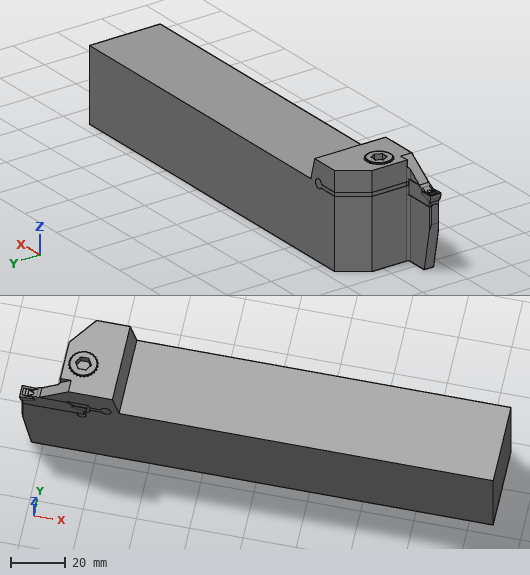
import cadquery as cq
import math


total_length = 177.8
shank_width = 32.0
shank_height = 32.0
head_height = 41.0
head_front_x = 14.2
head_back_top_x = 34.8
head_back_foot_x = 37.3
corner_cut_end_x = 22.2
corner_cut_start_y = 20.8

blade_thickness = 4.3
blade_front_x = 0.7
blade_foot_x = 4.5
blade_slant_z = 19.5
blade_root_radius = 1.0
nose_chamfer = 0.5
slope_cut_width = 5.0
slope_top_x = 18.3

insert_center_x = 12.6
insert_thickness = 4.5
insert_bottom_z = 26.8
tip_z = 31.6
ridge_z = 33.2
ridge_start_x = 7.5
ramp_start_x = 4.8
relief_foot_x = 0.2
relief_foot_z = 30.0
tip_head_bottom_z = 28.6
tip_head_back_x = 5.5
tip_head_back_z = 30.4
tip_overhang = 0.23
seat_groove_depth = 0.7
seat_groove_mouth = 3.2
seat_groove_floor = 1.6
chip_groove_start_x = 0.7
chip_groove_low_x = 1.8
chip_groove_rise_x = 4.3
chip_groove_end_x = 6.2
chip_groove_depth = 0.4
chip_groove_width = 3.0
deflector_start_x = 2.8
deflector_end_x = 5.7
deflector_width = 2.5

slit_bottom_z = 30.5
slit_top_z = 32.2
keyhole_diameter = 4.0
keyhole_x = 32.4
keyhole_z = 31.8
clearance_start_x = 18.5
clearance_end_x = 25.6
clearance_top_z = 33.8
clearance_back_x = 26.3
seat_wall_x = 24.7
seat_wall_top_z = 28.5
clearance_bend_x = 25.6
clearance_bend_z = 28.6
clearance_drop_z = 29.7
relief_diameter = 3.4
relief_x = 23.3
relief_z = 26.3

screw_x = 21.3
screw_y = 12.6
screw_rise = 0.64
screw_top_z = head_height + screw_rise
knurl_diameter = 11.0
screw_body_diameter = 10.0
screw_height = 6.2
socket_corner_diameter = 5.9
socket_depth = 2.7
knurl_count = 24


def prism(points, y_start, y_end):
    """Extrude an outline of (x, z) points from y_start to y_end."""
    return cq.Workplane("XZ", origin=(0, y_start, 0)).polyline(points).close().extrude(y_start - y_end)


def rod(x, z, diameter, y_start, y_end):
    """Cylinder along Y between y_start and y_end."""
    return cq.Workplane("XZ", origin=(x, y_start, z)).circle(diameter / 2).extrude(y_start - y_end)


def nose_bevels(thickness, z_bottom, z_top):
    """Two triangular bars that bevel the upright front edges of the blade or the insert."""
    bevels = cq.Workplane("XY", origin=(0, 0, z_bottom))
    for edge_y, inward in ((0, 1), (thickness, -1)):
        bevels = bevels.polyline([
            (blade_front_x, edge_y),
            (blade_front_x + nose_chamfer, edge_y),
            (blade_front_x, edge_y + inward * nose_chamfer),
        ]).close()
    return bevels.extrude(z_top - z_bottom)


def make_head():
    """Shank with the raised head, its sloping back and its bevelled far corner."""
    head = prism(
        [
            (head_front_x, 0),
            (total_length, 0),
            (total_length, shank_height),
            (head_back_foot_x, shank_height),
            (head_back_top_x, head_height),
            (head_front_x, head_height),
        ],
        0,
        shank_width,
    )
    corner = (
        cq.Workplane("XY")
        .polyline([
            (head_front_x, corner_cut_start_y),
            (corner_cut_end_x, shank_width),
            (head_front_x, shank_width),
        ])
        .close()
        .extrude(head_height)
    )
    return head.cut(corner)


def make_blade():
    """Thin blade in front of the head, with a slanted foot and a filleted root."""
    blade = prism(
        [
            (blade_foot_x, 0),
            (head_front_x, 0),
            (head_front_x, head_height),
            (blade_front_x, head_height),
            (blade_front_x, blade_slant_z),
        ],
        0,
        blade_thickness,
    ).cut(nose_bevels(blade_thickness, 0, head_height))
    root = (
        cq.Workplane("XY")
        .moveTo(head_front_x, blade_thickness)
        .lineTo(head_front_x, blade_thickness + blade_root_radius)
        .radiusArc((head_front_x - blade_root_radius, blade_thickness), blade_root_radius)
        .close()
        .extrude(head_height)
    )
    return blade.union(root)


def slope_cut():
    """Material removed above the sloping line from the insert up to the head top."""
    return prism(
        [
            (slope_top_x, head_height),
            (ridge_start_x, ridge_z),
            (ramp_start_x, tip_z),
            (0, tip_z),
            (0, head_height),
        ],
        0,
        slope_cut_width,
    )


def both_ends(front):
    """Join a shape of the front end with its mirror image at the rear end of the insert."""
    return front.union(front.mirror("YZ", (insert_center_x, 0, 0)))


def tip_flank():
    """Wedge that widens the cutting tip on the blade side, thinning out downwards and backwards."""
    outline = [
        (0, tip_z),
        (relief_foot_x, relief_foot_z),
        (blade_front_x, tip_head_bottom_z),
        (tip_head_back_x, tip_head_back_z),
        (tip_head_back_x, tip_z),
    ]
    run = tip_head_back_x - blade_front_x
    rise = tip_head_back_z - tip_head_bottom_z
    run_length = math.hypot(run, rise)
    tip_distance = (run * (tip_z - tip_head_bottom_z) + rise * blade_front_x) / run_length
    lower_edge = cq.Plane(
        origin=(blade_front_x, 0, tip_head_bottom_z),
        xDir=(0, -1, 0),
        normal=(-run, 0, -rise),
    )
    wedge = (
        cq.Workplane(lower_edge)
        .polyline([(0, 0), (0, 2 * tip_distance), (2 * tip_overhang, 2 * tip_distance)])
        .close()
        .extrude(2 * run_length, both=True)
    )
    return prism(outline, -2 * tip_overhang, 0).intersect(wedge)


def chip_groove():
    """Shallow trough behind the cutting edge, with a pointed deflector left standing in it."""
    mid_y = insert_thickness / 2
    ramp_slope = (ridge_z - tip_z) / (ridge_start_x - ramp_start_x)
    floor_z = tip_z - chip_groove_depth
    trough = prism(
        [
            (chip_groove_start_x, tip_z),
            (chip_groove_low_x, floor_z),
            (chip_groove_rise_x, floor_z),
            (chip_groove_end_x, tip_z + ramp_slope * (chip_groove_end_x - ramp_start_x)),
            (ramp_start_x, tip_z),
        ],
        mid_y - chip_groove_width / 2,
        mid_y + chip_groove_width / 2,
    )
    deflector = (
        cq.Workplane("XY", origin=(0, mid_y, floor_z))
        .polyline([
            (deflector_start_x, -deflector_width / 2),
            (deflector_end_x, 0),
            (deflector_start_x, deflector_width / 2),
        ])
        .close()
        .extrude(chip_groove_depth)
    )
    return trough.cut(deflector)


def make_insert_blank():
    """Double-ended insert before its chip grooves are sunk; its seat has this shape."""
    mid_y = insert_thickness / 2
    front_half = prism(
        [
            (0, tip_z),
            (relief_foot_x, relief_foot_z),
            (blade_front_x, tip_head_bottom_z),
            (blade_front_x, insert_bottom_z),
            (insert_center_x, insert_bottom_z),
            (insert_center_x, ridge_z),
            (ridge_start_x, ridge_z),
            (ramp_start_x, tip_z),
        ],
        0,
        insert_thickness,
    )
    flank = tip_flank()
    front_half = front_half.cut(nose_bevels(insert_thickness, insert_bottom_z, tip_head_bottom_z))
    front_half = front_half.union(flank).union(flank.mirror("XZ", (0, mid_y, 0)))
    seat_groove = (
        cq.Workplane("YZ")
        .polyline([
            (mid_y - seat_groove_mouth / 2, insert_bottom_z),
            (mid_y + seat_groove_mouth / 2, insert_bottom_z),
            (mid_y + seat_groove_floor / 2, insert_bottom_z + seat_groove_depth),
            (mid_y - seat_groove_floor / 2, insert_bottom_z + seat_groove_depth),
        ])
        .close()
        .extrude(insert_center_x)
    )
    return both_ends(front_half.cut(seat_groove))


def make_insert(blank):
    """Insert with a chip groove at each cutting end."""
    return blank.cut(both_ends(chip_groove()))


def make_filler(insert_blank):
    """Fills the clamping slit, its keyhole end and the gaps around the back of the insert."""
    slit = prism(
        [
            (head_front_x, slit_bottom_z),
            (keyhole_x, slit_bottom_z),
            (keyhole_x, slit_top_z),
            (head_front_x, slit_top_z),
        ],
        0,
        shank_width,
    )
    keyhole = rod(keyhole_x, keyhole_z, keyhole_diameter, 0, shank_width)
    seat_gap = prism(
        [
            (2 * insert_center_x - ridge_start_x, ridge_z),
            (clearance_start_x, clearance_top_z),
            (clearance_end_x, clearance_top_z),
            (clearance_back_x, slit_top_z),
            (clearance_back_x, clearance_drop_z),
            (clearance_bend_x, clearance_bend_z),
            (seat_wall_x, seat_wall_top_z),
            (seat_wall_x, insert_bottom_z),
            (relief_x, insert_bottom_z),
        ],
        0,
        blade_thickness,
    )
    relief = rod(relief_x, relief_z, relief_diameter, 0, blade_thickness)
    filler = slit.union(keyhole).union(seat_gap).union(relief)
    return filler.intersect(make_head()).cut(insert_blank)


def make_screw():
    """Screw with a knurled rim standing on the head top, a bevelled edge and a hexagon socket."""
    body = (
        cq.Workplane("XY", origin=(screw_x, screw_y, screw_top_z - screw_height))
        .circle(screw_body_diameter / 2)
        .extrude(screw_height)
    )
    tooth_step = 2 * math.pi / knurl_count
    outline = []
    for tooth in range(knurl_count):
        for radius, turn in ((knurl_diameter / 2, 0), (screw_body_diameter / 2, 0.5)):
            angle = (tooth + turn) * tooth_step
            outline.append((radius * math.cos(angle), radius * math.sin(angle)))
    knurl = (
        cq.Workplane("XY", origin=(screw_x, screw_y, head_height))
        .polyline(outline)
        .close()
        .extrude(screw_top_z - head_height)
    )
    bevelled_disc = (
        cq.Workplane("XY", origin=(screw_x, screw_y, head_height))
        .circle(knurl_diameter / 2)
        .extrude(screw_top_z - head_height)
        .faces(">Z")
        .chamfer((knurl_diameter - screw_body_diameter) / 2)
    )
    socket = (
        cq.Workplane("XY", origin=(screw_x, screw_y, screw_top_z))
        .polygon(6, socket_corner_diameter)
        .extrude(-socket_depth)
    )
    return body.union(knurl.intersect(bevelled_disc)).cut(socket)


def make_holder(insert_blank, filler):
    """Shank, head and blade in one piece, with seats for the insert, the filler and the screw."""
    screw_hole = (
        cq.Workplane("XY", origin=(screw_x, screw_y, head_height))
        .circle(screw_body_diameter / 2)
        .extrude(screw_top_z - screw_height - head_height)
    )
    holder = make_head().union(make_blade()).cut(slope_cut())
    return holder.cut(insert_blank).cut(filler).cut(screw_hole)


insert_blank = make_insert_blank()
insert = make_insert(insert_blank)
filler = make_filler(insert_blank)
screw = make_screw()
holder = make_holder(insert_blank, filler)

result = cq.Compound.makeCompound([holder.val(), insert.val(), filler.val(), screw.val()])